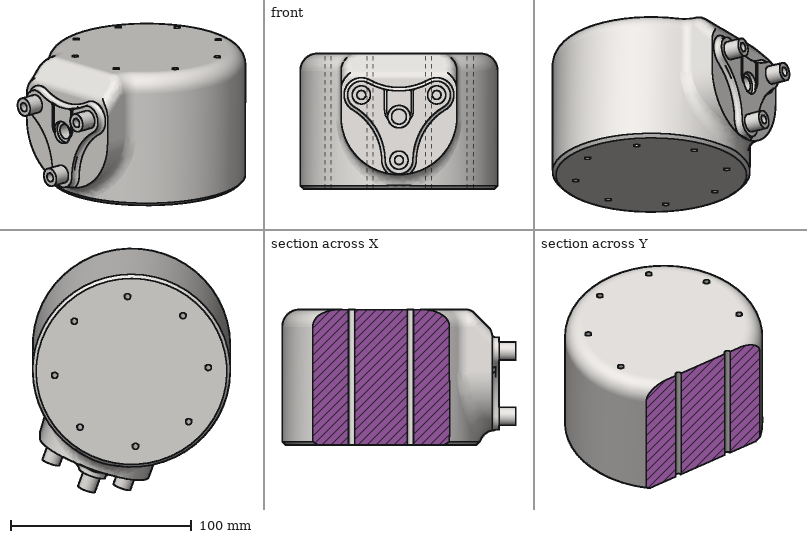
import cadquery as cq
import math


def polar(radius, angle):
    """Point at the given radius and angle in degrees."""
    return (radius * math.cos(math.radians(angle)), radius * math.sin(math.radians(angle)))


body_radius = 54.6
body_height = 75.0
total_length = 129.2
rim_radius = 9.7
base_chamfer = 2.0

neck_radius = 32.0
neck_axis_z = 40.0
face_reach = 61.4
junction_radius = 7.7
slope_offset = 11.8
slope_blend = 6.1

plate_thickness = 3.9
flare_radius = 2.0
lobe_radius = 7.6
lobe_circle_radius = 24.0
waist_radius = 35.1

boss_radius = 5.0
boss_bore_radius = 2.5

socket_radius = 4.1
socket_depth = 12.9
counterbore_radius = 6.2
counterbore_depth = 2.3
groove_half_width = 8.0
groove_width = 1.2
groove_depth = 0.5
groove_round_rise = 3.7
groove_mouth_radius = 1.2

screw_count = 8
screw_circle_radius = 42.5
screw_hole_radius = 1.7

plate_reach = face_reach + plate_thickness
boss_length = total_length - body_radius - plate_reach
lobe_angles = (30, 150, 270)
lobe_step = 120
lobe_points = [polar(lobe_circle_radius, angle) for angle in lobe_angles]

overrun = 19.4
stock = 4 * body_radius
margin = 1.3
backing = 1.3


def front_plane(reach):
    """Plane facing -Y, centred on the neck axis at the given distance from the body axis."""
    return cq.Workplane("XZ", origin=(0, -reach, neck_axis_z))


def neck_prism(reach):
    """U-shaped prism from the body axis forward, round below and flat on top."""
    top = body_height - neck_axis_z
    return (
        front_plane(0)
        .moveTo(-neck_radius, top)
        .lineTo(-neck_radius, 0)
        .threePointArc((0, -neck_radius), (neck_radius, 0))
        .lineTo(neck_radius, top)
        .close()
        .extrude(reach)
    )


def housing():
    """Round body blended into the neck, with rounded rim, sloped front and chamfered base."""
    drum = cq.Workplane("XY", origin=(0, 0, -overrun)).circle(body_radius).extrude(body_height + overrun)
    shape = drum.union(neck_prism(face_reach + overrun))
    junction_y = -math.sqrt(body_radius**2 - neck_radius**2)
    near_junction = cq.selectors.BoxSelector(
        (-neck_radius - margin, -body_radius - margin, neck_axis_z - neck_radius - margin),
        (neck_radius + margin, junction_y + margin, body_height - margin),
    )
    shape = shape.edges(near_junction).fillet(junction_radius)
    below_base = cq.Workplane("XY").box(stock, stock, stock).translate((0, 0, -stock / 2))
    shape = shape.cut(below_base)

    front_end = cq.selectors.BoxSelector(
        (-stock, -face_reach - overrun - margin, 0),
        (stock, -face_reach - overrun + margin, stock),
    )
    rim = shape.faces(">Z").edges(cq.selectors.InverseSelector(front_end))
    shape = rim.fillet(rim_radius)

    before_face = cq.Workplane("XY").box(stock, stock, stock).translate((0, -face_reach - stock / 2, 0))
    shape = shape.cut(before_face)
    shape = shape.cut(slope_cutter())
    slope = shape.faces(cq.selectors.DirectionMinMaxSelector(cq.Vector(0, -1, 1), True))
    shape = slope.edges().fillet(slope_blend)
    return shape.cut(base_ring())


def slope_cutter():
    """Wedge that removes the neck's top front edge at 45 degrees."""
    return (
        cq.Workplane("YZ")
        .moveTo(-face_reach - overrun, body_height - slope_offset - overrun)
        .lineTo(-face_reach + slope_offset + overrun, body_height + overrun)
        .lineTo(-face_reach - overrun, body_height + overrun)
        .close()
        .extrude(2 * neck_radius, both=True)
    )


def base_ring():
    """Triangular ring that chamfers the bottom edge."""
    inner = body_radius - base_chamfer
    size = 2 * base_chamfer
    return (
        cq.Workplane("XZ")
        .moveTo(inner, 0)
        .lineTo(inner + size, 0)
        .lineTo(inner + size, size)
        .close()
        .revolve(360, (0, 0, 0), (0, 1, 0))
    )


def plate_outline(plane, grow):
    """Three-lobed outline, moved outward by the given amount."""
    lobe = lobe_radius + grow
    waist = waist_radius - grow
    centre_gap = lobe + waist
    half_step = lobe_step / 2
    along = lobe_circle_radius * math.cos(math.radians(half_step))
    across = lobe_circle_radius * math.sin(math.radians(half_step))
    waist_circle_radius = along + math.sqrt(centre_gap**2 - across**2)

    def tangent_point(lobe_angle, side):
        lx, ly = polar(lobe_circle_radius, lobe_angle)
        wx, wy = polar(waist_circle_radius, lobe_angle + side * half_step)
        share = lobe / centre_gap
        return (lx + (wx - lx) * share, ly + (wy - ly) * share)

    outline = plane.moveTo(*tangent_point(lobe_angles[0], -1))
    for angle in lobe_angles:
        outline = outline.threePointArc(
            polar(lobe_circle_radius + lobe, angle), tangent_point(angle, 1)
        ).threePointArc(
            polar(waist_circle_radius - waist, angle + half_step), tangent_point(angle + lobe_step, -1)
        )
    return outline.close()


def plate():
    """Three-lobed mounting plate with a concave flare at its foot."""
    foot = front_plane(face_reach).rect(4 * neck_radius, 4 * neck_radius).extrude(-backing)
    base_reach = plate_reach - groove_depth
    shape = plate_outline(front_plane(face_reach), 0).extrude(base_reach - face_reach).union(foot)
    foot_edges = cq.selectors.BoxSelector(
        (-neck_radius, -face_reach - margin, 0), (neck_radius, -face_reach + margin / 2, body_height)
    )
    shape = shape.edges(foot_edges).fillet(flare_radius)
    flare_width = 0.98 * flare_radius
    footprint = plate_outline(front_plane(face_reach - backing), flare_width)
    shape = shape.intersect(footprint.extrude(backing + plate_thickness))
    return shape.intersect(neck_prism(plate_reach)).union(grooved_layer(base_reach))


def u_prism(reach, half_width):
    """Prism of groove depth, round below and open past the plate's upper edge."""
    top = lobe_circle_radius
    return (
        front_plane(reach)
        .moveTo(-half_width, top)
        .lineTo(-half_width, groove_round_rise)
        .threePointArc((0, groove_round_rise - half_width), (half_width, groove_round_rise))
        .lineTo(half_width, top)
        .close()
        .extrude(groove_depth)
    )


def grooved_layer(reach):
    """Front layer of the plate, divided by the groove around the central pad."""
    groove = u_prism(reach, groove_half_width).cut(u_prism(reach, groove_half_width - groove_width))
    layer = plate_outline(front_plane(reach), 0).extrude(groove_depth).cut(groove)
    mouth = cq.selectors.BoxSelector(
        (-groove_half_width - margin, -plate_reach - margin, neck_axis_z + lobe_circle_radius / 2),
        (groove_half_width + margin, -reach + margin, body_height),
    )
    return layer.edges("|Y").edges(mouth).fillet(groove_mouth_radius)


def bosses():
    """One round stand-off on each lobe."""
    return front_plane(plate_reach).pushPoints(lobe_points).circle(boss_radius).extrude(boss_length)


def boss_bores():
    """Blind bores through the bosses and the plate."""
    depth = boss_length + plate_thickness
    return (
        front_plane(plate_reach + boss_length)
        .pushPoints(lobe_points)
        .circle(boss_bore_radius)
        .extrude(-depth)
    )


def socket():
    """Counterbored hole on the neck axis."""
    plane = front_plane(plate_reach)
    return plane.circle(counterbore_radius).extrude(-counterbore_depth).union(
        plane.circle(socket_radius).extrude(-socket_depth)
    )


def screw_holes():
    """Circle of small holes along the full body height."""
    return (
        cq.Workplane("XY")
        .polarArray(screw_circle_radius, 180 / screw_count, 360, screw_count)
        .circle(screw_hole_radius)
        .extrude(body_height)
    )


result = (
    housing()
    .union(plate())
    .union(bosses())
    .cut(boss_bores())
    .cut(socket())
    .cut(screw_holes())
)